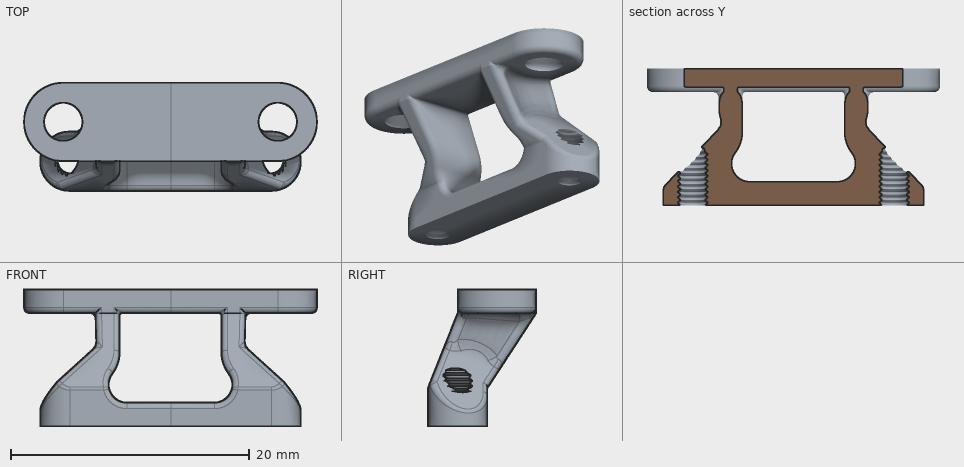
import cadquery as cq
import math

total_height = 11.5
plate_thickness = 2.0
plate_end_x = 9.0
plate_radius = 3.3
plate_hole_diameter = 3.2
plate_bottom = total_height - plate_thickness

base_end_x = 8.45
base_radius = 2.5
base_y = -3.3
base_top = 3.2
base_front = base_y - base_radius
base_back = base_y + base_radius

window_floor = 2.0
window_corner_radius = 1.5
window_corner_x = 3.68
window_neck_x = 4.26
window_neck_radius = 3.0

recess_clearance = 0.4
recess_length = 16.0
ramp_fall_x = 1.05
ramp_fall_y = 0.4
ramp_point = cq.Vector(7.15, -4.67, 6.05)
ramp_inner_x = 7.0

thread_minor_diameter = 2.0
thread_major_diameter = 2.51
thread_pitch = 0.45
thread_depth = 4.7
drill_tip_angle = 118.0

fold_fillet = 0.75
edge_fillet = 0.5
ramp_fillet = 1.0
recess_rim_fillet = 0.5
root_fillet = 0.5
window_top_fillet = 0.2

cutter_size = 60.0


def slot(end_x, radius, y, z):
    """Slot outline along X with its end arcs centred at (+-end_x, y)."""
    return cq.Workplane("XY", origin=(0, y, z)).slot2D(2 * (end_x + radius), 2 * radius)


def between_base_and_plate(base_value, plate_value, z):
    share = (z - base_top) / (plate_bottom - base_top)
    return base_value + share * (plate_value - base_value)


def front_y(z):
    return between_base_and_plate(base_front, -plate_radius, z)


def back_y(z):
    return between_base_and_plate(base_back, plate_radius, z)


def ramp_z(x, y):
    return ramp_point.z - ramp_fall_x * (x - ramp_point.x) - ramp_fall_y * (y - ramp_point.y)


def recess_x(y, z):
    """X of the round recess wall at a given Y and Z."""
    end_x = between_base_and_plate(base_end_x, plate_end_x, z)
    centre_y = between_base_and_plate(base_y, 0, z)
    radius = between_base_and_plate(base_radius, plate_radius, z) + recess_clearance
    return end_x - math.sqrt(radius**2 - (y - centre_y) ** 2)


def fillet_near(solid, radius, points):
    """Fillet the edges that pass closest to the given points."""
    edges = []
    for point in points:
        vertex = cq.Vertex.makeVertex(*point)
        nearest = min(solid.edges().vals(), key=lambda edge: edge.distance(vertex))
        if not any(nearest.isSame(edge) for edge in edges):
            edges.append(nearest)
    return solid.newObject(edges).fillet(radius)


def make_blank():
    """Base and leaning web in one piece, before the window and the recesses are cut."""
    end_x = base_end_x + base_radius
    profile = (
        cq.Workplane("YZ")
        .moveTo(base_front, 0)
        .lineTo(base_back, 0)
        .lineTo(base_back, base_top)
        .lineTo(plate_radius, plate_bottom)
        .lineTo(-plate_radius, plate_bottom)
        .lineTo(base_front, base_top)
        .close()
        .extrude(end_x, both=True)
    )
    footprint = (
        cq.Workplane("XY")
        .moveTo(-base_end_x, base_front)
        .lineTo(base_end_x, base_front)
        .threePointArc((end_x, base_y), (base_end_x, base_back))
        .lineTo(end_x, base_back)
        .lineTo(end_x, plate_radius)
        .lineTo(-end_x, plate_radius)
        .lineTo(-end_x, base_back)
        .lineTo(-base_end_x, base_back)
        .threePointArc((-end_x, base_y), (-base_end_x, base_front))
        .close()
        .extrude(plate_bottom)
    )
    return fillet_near(profile.intersect(footprint), fold_fillet, [(0, base_front, base_top)])


def make_window():
    corner_z = window_floor + window_corner_radius
    centre_gap = window_corner_radius + window_neck_radius
    neck_centre_x = window_neck_x + window_neck_radius
    rise_angle = math.acos((neck_centre_x - window_corner_x) / centre_gap)
    neck_z = corner_z + centre_gap * math.sin(rise_angle)

    def on_corner(angle):
        return (window_corner_x + window_corner_radius * math.cos(angle),
                corner_z + window_corner_radius * math.sin(angle))

    def on_neck(angle):
        return (neck_centre_x - window_neck_radius * math.cos(angle),
                neck_z - window_neck_radius * math.sin(angle))

    half = (
        cq.Workplane("XZ")
        .moveTo(0, window_floor)
        .lineTo(window_corner_x, window_floor)
        .threePointArc(on_corner((rise_angle - math.pi / 2) / 2), on_corner(rise_angle))
        .threePointArc(on_neck(rise_angle / 2), (window_neck_x, neck_z))
        .lineTo(window_neck_x, plate_bottom)
        .lineTo(0, plate_bottom)
        .close()
        .extrude(cutter_size / 2, both=True)
    )
    return half.union(half.mirror("YZ"))


def recess_outline(end_x, radius, y, z):
    """Slot outline whose round inner end is centred at (end_x, y)."""
    outline = slot(recess_length / 2, radius + recess_clearance, y, z).wires().val()
    return outline.translate(cq.Vector(end_x + recess_length / 2, 0, 0))


def make_recess():
    """Leaning round recess above the ramp on the +X side."""
    upper = recess_outline(plate_end_x, plate_radius, 0, plate_bottom)
    lower = recess_outline(base_end_x, base_radius, base_y, base_top)
    leg_side = cq.Workplane(obj=cq.Solid.makeLoft([lower, upper], True))
    base_side = cq.Workplane("XY", origin=(ramp_inner_x, base_y, 0)).box(
        recess_length, recess_length, base_top, centered=(False, True, False))
    ramp_plane = cq.Plane(
        origin=ramp_point, xDir=(0, 1, -ramp_fall_y), normal=(ramp_fall_x, ramp_fall_y, 1))
    above_ramp = cq.Workplane(ramp_plane).rect(cutter_size, cutter_size).extrude(cutter_size)
    return leg_side.union(base_side).intersect(above_ramp)


def round_leg_edges(leg):
    """Round the window rims, the recess rim and the corner where the recess meets the ramp."""
    neck_mid_z = (base_top + 2 * plate_bottom) / 3
    neck_low_z = (base_top + plate_bottom) / 2
    floor_x = window_corner_x / 2
    end_x = base_end_x + base_radius
    rim_x = (ramp_point.x + base_end_x) / 2
    lean_front = (front_y(plate_bottom) - front_y(base_top)) / (plate_bottom - base_top)
    lean_back = (back_y(plate_bottom) - back_y(base_top)) / (plate_bottom - base_top)

    def rim_point(lean, face_y):
        """Point at rim_x where the ramp crosses the front or the back face of the leg."""
        level = ramp_z(rim_x, face_y(base_top) - lean * base_top)
        z = level / (1 + ramp_fall_y * lean)
        return (rim_x, face_y(z), z)

    recess_rim = [
        (end_x, base_y, ramp_z(end_x, base_y)),
        rim_point(lean_front, front_y),
        rim_point(lean_back, back_y),
    ]
    window_rim = [(floor_x, base_front, window_floor), (floor_x, base_back, window_floor)]
    for face_y in (front_y, back_y):
        y = face_y(neck_mid_z)
        recess_rim.append((recess_x(y, neck_mid_z), y, neck_mid_z))
        window_rim.append((window_neck_x, y, neck_mid_z))
    rounded = fillet_near(leg, edge_fillet, window_rim)
    rounded = fillet_near(rounded, recess_rim_fillet, recess_rim)

    wall_y = between_base_and_plate(base_y, 0, neck_low_z)
    wall_x = recess_x(wall_y, neck_low_z)
    return fillet_near(rounded, ramp_fillet, [(wall_x, wall_y, ramp_z(wall_x, wall_y))])


def make_plate():
    plate = slot(plate_end_x, plate_radius, 0, plate_bottom).extrude(plate_thickness)
    plate = plate.faces("<Z").edges().fillet(edge_fillet)
    holes = (
        cq.Workplane("XY", origin=(0, 0, plate_bottom))
        .pushPoints([(-plate_end_x, 0), (plate_end_x, 0)])
        .circle(plate_hole_diameter / 2)
        .extrude(plate_thickness)
    )
    return plate.cut(holes)


def make_thread_hole():
    minor = thread_minor_diameter / 2
    major = thread_major_diameter / 2
    tip_height = minor / math.tan(math.radians(drill_tip_angle / 2))
    profile = cq.Workplane("XZ").lineTo(minor, 0)
    for turn in range(int(thread_depth / thread_pitch)):
        profile = profile.lineTo(major, (turn + 0.5) * thread_pitch)
        profile = profile.lineTo(minor, (turn + 1) * thread_pitch)
    profile = profile.lineTo(minor, thread_depth).lineTo(0, thread_depth + tip_height).close()
    hole = profile.revolve(360, (0, 0), (0, 1))
    return hole.translate((base_end_x, base_y, 0))


def make_half():
    """The +X half of the part."""
    half_space = cq.Workplane("XY").box(
        cutter_size, cutter_size, cutter_size, centered=(False, True, True))
    leg = make_blank().cut(make_window()).cut(make_recess()).intersect(half_space)
    leg = round_leg_edges(leg)
    leg_root = cq.Solid.extrudeLinear(leg.faces(">Z").val(), cq.Vector(0, 0, edge_fillet))
    half = leg.union(cq.Workplane(obj=leg_root)).union(make_plate().intersect(half_space))
    half = fillet_near(half, root_fillet, [(recess_x(0, plate_bottom), 0, plate_bottom)])
    half = fillet_near(half, window_top_fillet, [(window_neck_x, 0, plate_bottom)])
    return half.cut(make_thread_hole())


half_part = make_half()
result = half_part.union(half_part.mirror("YZ"), clean=False)